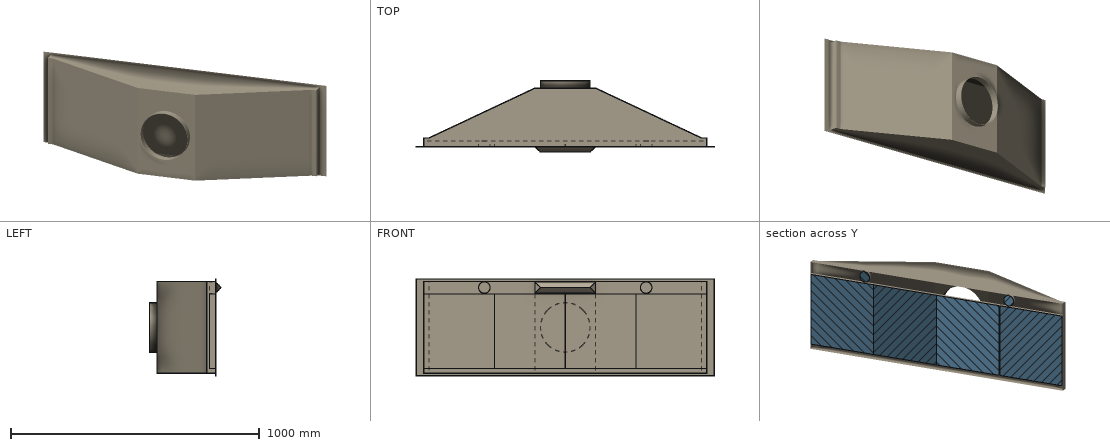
import cadquery as cq

sheet = 1

flange_width = 1198
flange_height = 390
flange_side_overhang = 30
flange_edge_overhang = 10

rim_depth = 37
shelf_width = 22
body_depth = 237
body_back_width = 244

duct_diameter = 200
duct_length = 30

filter_count = 4
filter_depth = 25
filter_clearance = 0.5
opening_height = 299
opening_bottom_margin = 20

fitting_level = 160

lamp_diameter = 46
lamp_depth = 25
lamp_offset = 325

handle_base_width = 244
handle_ridge_width = 198
handle_height = 44
handle_projection = 21

body_width = flange_width - 2 * flange_side_overhang
body_height = flange_height - 2 * flange_edge_overhang
opening_width = body_width - 2 * sheet
opening_bottom = -body_height / 2 + opening_bottom_margin
opening_centre = opening_bottom + opening_height / 2
filter_pitch = opening_width / filter_count
lamp_positions = [-lamp_offset, lamp_offset]


def front_plane(x=0, y=0, z=0):
    """Workplane parallel to the front face; a negative extrusion runs towards the back."""
    return cq.Workplane("XZ", origin=(x, y, z))


def make_body_block():
    """Straight rim with a small shelf at each end, tapering back to the duct side."""
    half_rim = body_width / 2
    half_taper = half_rim - shelf_width
    half_back = body_back_width / 2
    outline = [
        (-half_rim, 0),
        (half_rim, 0),
        (half_rim, rim_depth),
        (half_taper, rim_depth),
        (half_back, body_depth),
        (-half_back, body_depth),
        (-half_taper, rim_depth),
        (-half_rim, rim_depth),
    ]
    return cq.Workplane("XY").polyline(outline).close().extrude(body_height / 2, both=True)


def make_handle():
    """Grip with a ridge along X and four sloping faces."""
    half_base = handle_base_width / 2
    half_ridge = handle_ridge_width / 2
    half_height = handle_height / 2
    profile = [(0, -half_height), (-handle_projection, 0), (0, half_height)]
    plan = [
        (-half_base, 0),
        (-half_ridge, -handle_projection),
        (half_ridge, -handle_projection),
        (half_base, 0),
    ]
    prism = cq.Workplane("YZ").polyline(profile).close().extrude(half_base, both=True)
    mitre = cq.Workplane("XY").polyline(plan).close().extrude(half_height, both=True)
    return prism.intersect(mitre).translate((0, 0, fitting_level))


def make_housing():
    """Hollow sheet body with flange, open duct, handle, filter opening and lamp holes."""
    shell = make_body_block().shell(-sheet)
    flange = front_plane().rect(flange_width, flange_height).extrude(-sheet)
    duct = front_plane(y=body_depth).circle(duct_diameter / 2).extrude(-duct_length)
    bore = (
        front_plane(y=body_depth - sheet)
        .circle(duct_diameter / 2 - sheet)
        .extrude(-(duct_length + sheet))
    )
    opening = front_plane(z=opening_centre).rect(opening_width, opening_height).extrude(-sheet)
    housing = shell.union(flange).union(duct).cut(bore).cut(opening).union(make_handle())
    for x in lamp_positions:
        housing = housing.cut(make_lamp(x))
    return housing.solids()


def make_filter(index):
    """Flat grease filter, flush with the front face, with a small gap all round."""
    x = (index - (filter_count - 1) / 2) * filter_pitch
    width = filter_pitch - 2 * filter_clearance
    height = opening_height - 2 * filter_clearance
    return front_plane(x=x, z=opening_centre).rect(width, height).extrude(-filter_depth)


def make_lamp(x):
    """Round lamp set flush into the strip above the filters."""
    return front_plane(x=x, z=fitting_level).circle(lamp_diameter / 2).extrude(-lamp_depth)


housing = make_housing()
filters = [make_filter(index) for index in range(filter_count)]
lamps = [make_lamp(x) for x in lamp_positions]

result = cq.Compound.makeCompound([housing.val(), *[insert.val() for insert in filters + lamps]])